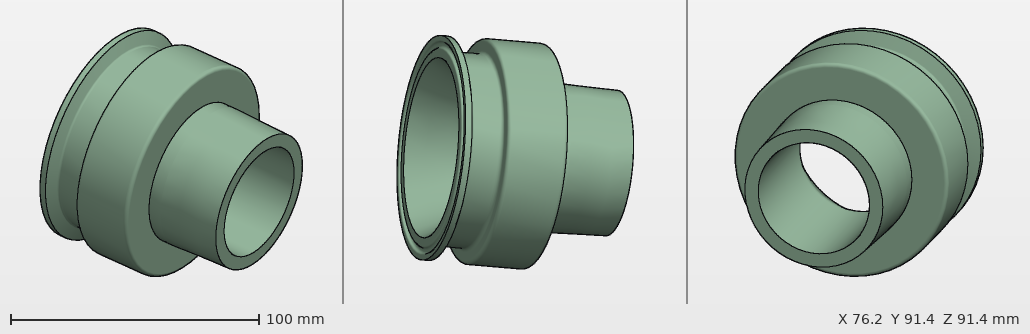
import cadquery as cq
import math


total_length = 76.2
flange_rim_width = 2.8
body_start = 18.05
body_width = 25.4
stub_straight_length = 5.8

flange_radius = 90.91 / 2
neck_radius = 78.74 / 2
body_radius = 91.44 / 2
stub_radius = 60.62 / 2

flange_back_angle = 20.0
pipe_taper = 1 / 16
flange_root_fillet = 1.0
body_fillet = 1.5875

mouth_radius = 72.9 / 2
bore_radius = 47.5 / 2
cone_depth = 25.4
bore_blend_radius = 6.35

groove_center_radius = 41.7
groove_half_width = 1.41
groove_wall_angle = 70.0
groove_bottom_radius = 1.2
groove_lip_radius = 0.77

SHARP = 0

body_end = body_start + body_width
taper_start = body_end + stub_straight_length
flange_back_width = (flange_radius - neck_radius) * math.tan(math.radians(flange_back_angle))
neck_start = flange_rim_width + flange_back_width
stub_end_radius = stub_radius - (total_length - taper_start) * pipe_taper / 2


def toward(start, target, distance):
    """Point at the given distance from start on the line to target."""
    ratio = distance / math.dist(start, target)
    return (
        start[0] + (target[0] - start[0]) * ratio,
        start[1] + (target[1] - start[1]) * ratio,
    )


def add_rounded_corner(outline, before, corner, after, radius):
    """Extend the outline with a line and a tangent arc that rounds the corner."""
    angle_before = math.atan2(before[1] - corner[1], before[0] - corner[0])
    angle_after = math.atan2(after[1] - corner[1], after[0] - corner[0])
    half_angle = math.acos(math.cos(angle_before - angle_after)) / 2
    tangent_length = radius / math.tan(half_angle)
    arc_start = toward(corner, before, tangent_length)
    arc_end = toward(corner, after, tangent_length)
    chord_middle = ((arc_start[0] + arc_end[0]) / 2, (arc_start[1] + arc_end[1]) / 2)
    arc_middle = toward(corner, chord_middle, radius / math.sin(half_angle) - radius)
    return outline.lineTo(*arc_start).threePointArc(arc_middle, arc_end)


def groove_corners():
    """Gasket groove: a V cut into the flange face, rounded at its lips and bottom."""
    apex_depth = groove_half_width * math.tan(math.radians(groove_wall_angle))
    return [
        ((0, groove_center_radius - groove_half_width), groove_lip_radius),
        ((apex_depth, groove_center_radius), groove_bottom_radius),
        ((0, groove_center_radius + groove_half_width), groove_lip_radius),
    ]


def outer_corners():
    """Clamp flange, neck, main body and tapered pipe stub."""
    return [
        ((0, flange_radius), SHARP),
        ((flange_rim_width, flange_radius), SHARP),
        ((neck_start, neck_radius), flange_root_fillet),
        ((body_start, neck_radius), body_fillet),
        ((body_start, body_radius), body_fillet),
        ((body_end, body_radius), body_fillet),
        ((body_end, stub_radius), SHARP),
        ((taper_start, stub_radius), SHARP),
        ((total_length, stub_end_radius), SHARP),
    ]


def bore_corners():
    """Straight bore from the pipe end, blended into the conical mouth."""
    return [
        ((total_length, bore_radius), SHARP),
        ((cone_depth, bore_radius), bore_blend_radius),
    ]


def turned_part():
    """Revolve the wall section, given as (X, radius) corners, about the X axis."""
    mouth = (0, mouth_radius)
    corners = groove_corners() + outer_corners() + bore_corners()
    points = [mouth] + [point for point, _ in corners] + [mouth]

    outline = cq.Workplane("XY").moveTo(*mouth)
    for index, (corner, radius) in enumerate(corners):
        if radius == SHARP:
            outline = outline.lineTo(*corner)
        else:
            outline = add_rounded_corner(outline, points[index], corner, points[index + 2], radius)
    return outline.close().revolve(360, (0, 0, 0), (1, 0, 0))


result = turned_part()